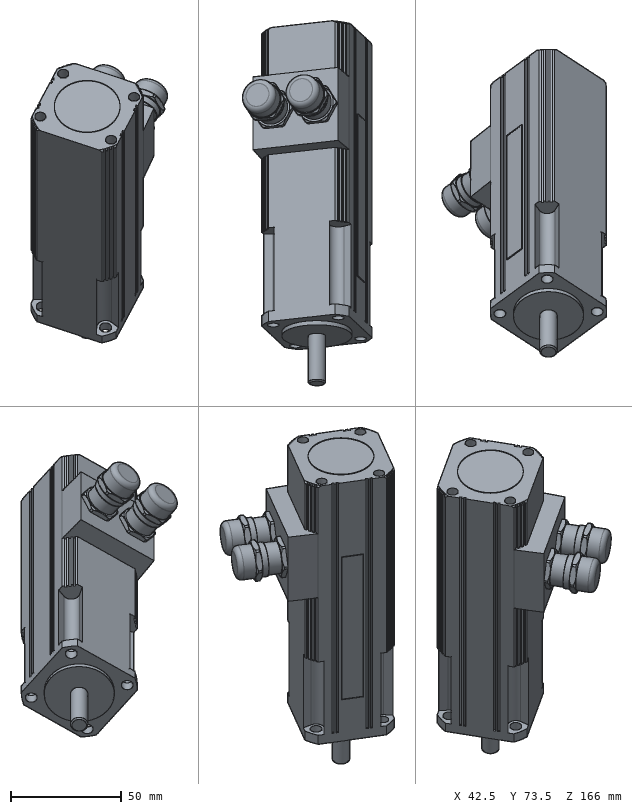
import cadquery as cq
import math


SPIGOT_BOTTOM = 22.7
FLANGE_BOTTOM = 24.7
FLANGE_TOP = 29.7
RELIEF_TOP = 69.7
TOTAL_HEIGHT = 166.0
DISC_HEIGHT = 0.3
BODY_TOP = TOTAL_HEIGHT - DISC_HEIGHT

BODY_WIDTH = 42.0
HALF_WIDTH = BODY_WIDTH / 2
OVERALL_DEPTH = 73.5
CORNER_RADIUS = 26.4
CORNER_BEVEL = 0.8

SHAFT_RADIUS = 4.0
SHAFT_CHAMFER = 0.7
SPIGOT_RADIUS = 16.0
DISC_RADIUS = 15.0

GROOVE_WIDTH = 1.0
GROOVE_DEPTH = 0.8
GROOVE_PITCH = 2 * GROOVE_WIDTH
GROOVES_PER_CORNER = 3
GROOVES_PER_BAND = 2
BAND_OFFSET = 8.0

BOLT_CIRCLE_RADIUS = 22.0
FLANGE_HOLE_RADIUS = 2.7
RELIEF_RADIUS = 4.0
RELIEF_FLARE_ANGLE = 25.0

SCREW_X = 17.5
SCREW_Y = 13.5
COUNTERBORE_RADIUS = 2.5
COUNTERBORE_DEPTH = 8.3
HEAD_RADIUS = 2.0
HEAD_HEIGHT = 3.0
SOCKET_RADIUS = 1.0
SOCKET_DEPTH = 1.5
SOCKET_TIP_DEPTH = 0.7

PLATE_THICKNESS = 0.5
PLATE_WIDTH = 10.1
PLATE_BOTTOM = 47.6
PLATE_TOP = 125.3

BOX_BOTTOM = 104.7
BOX_TOP = 139.8
BOX_INNER_Y = math.sqrt(CORNER_RADIUS**2 - HALF_WIDTH**2)
BOX_OUTER_Y = 29.9
BOX_OUTER_HALF_WIDTH = 20.5

CONNECTOR_X = 10.5
CONNECTOR_Z = 122.7
CONNECTOR_END_Y = OVERALL_DEPTH - HALF_WIDTH
CONNECTOR_RADIUS = 8.0
CONNECTOR_ROUNDING = 2.5
NECK_RADIUS = 7.5
NECK_END_Y = 38.3
NUT_END_Y = 32.2
RING_START_Y = 41.3
RING_END_Y = 44.3
HEX_ACROSS_FLATS = 17.0
HEX_TRIM_RADIUS = 9.5
HEX_BEVEL = 0.7

CORNER_ANGLES = (45, 135, 225, 315)


def cylinder(radius, bottom, top):
    return cq.Workplane("XY").workplane(offset=bottom).circle(radius).extrude(top - bottom)


def block(x_min, x_max, y_min, y_max, z_min, z_max):
    return cq.Workplane("XY").box(
        x_max - x_min, y_max - y_min, z_max - z_min, centered=False
    ).translate((x_min, y_min, z_min))


def turn_about_z(shape, angle):
    return shape.rotate((0, 0, 0), (0, 0, 1), angle)


def housing():
    """Flange and body in one, with a conical bevel on the rounded corners at the rear end."""
    square = block(-HALF_WIDTH, HALF_WIDTH, -HALF_WIDTH, HALF_WIDTH, FLANGE_BOTTOM, BODY_TOP)
    envelope = cylinder(CORNER_RADIUS, FLANGE_BOTTOM, BODY_TOP).faces(">Z").chamfer(CORNER_BEVEL)
    return square.intersect(envelope)


def corner_grooves():
    """Flat-bottomed parallel grooves on the +X side, to be turned onto a corner."""
    grooves = cq.Workplane("XY")
    middle = (GROOVES_PER_CORNER - 1) / 2
    for index in range(GROOVES_PER_CORNER):
        y = (index - middle) * GROOVE_PITCH
        grooves = grooves.union(block(
            CORNER_RADIUS - GROOVE_DEPTH, CORNER_RADIUS + GROOVE_DEPTH,
            y - GROOVE_WIDTH / 2, y + GROOVE_WIDTH / 2, RELIEF_TOP, BODY_TOP))
    return grooves


def face_grooves():
    """Two bands of flat-bottomed grooves on the +X face, above the flange."""
    grooves = cq.Workplane("XY")
    middle = (GROOVES_PER_BAND - 1) / 2
    for band_y in (-BAND_OFFSET, BAND_OFFSET):
        for index in range(GROOVES_PER_BAND):
            y = band_y + (index - middle) * GROOVE_PITCH
            grooves = grooves.union(block(
                HALF_WIDTH - GROOVE_DEPTH, HALF_WIDTH + GROOVE_DEPTH,
                y - GROOVE_WIDTH / 2, y + GROOVE_WIDTH / 2, FLANGE_TOP, BODY_TOP))
    return grooves


def corner_relief():
    """Round-bottomed channel with flared walls on the +X side, plus the flange hole below it."""
    flare = math.radians(RELIEF_FLARE_ANGLE)
    tangent_x = BOLT_CIRCLE_RADIUS - RELIEF_RADIUS * math.sin(flare)
    tangent_y = RELIEF_RADIUS * math.cos(flare)
    mouth_x = HALF_WIDTH * math.sqrt(2)
    mouth_y = tangent_y + (mouth_x - tangent_x) * math.tan(flare)
    channel = (
        cq.Workplane("XY").workplane(offset=FLANGE_TOP)
        .moveTo(mouth_x, -mouth_y)
        .lineTo(tangent_x, -tangent_y)
        .threePointArc((BOLT_CIRCLE_RADIUS - RELIEF_RADIUS, 0), (tangent_x, tangent_y))
        .lineTo(mouth_x, mouth_y)
        .close()
        .extrude(RELIEF_TOP - FLANGE_TOP)
    )
    hole = cylinder(FLANGE_HOLE_RADIUS, FLANGE_BOTTOM, FLANGE_TOP)
    return channel.union(hole.translate((BOLT_CIRCLE_RADIUS, 0, 0)))


def screw_recess():
    """Material to remove around and inside one screw head, on the Z axis."""
    floor = BODY_TOP - COUNTERBORE_DEPTH
    head_top = floor + HEAD_HEIGHT
    socket_floor = head_top - SOCKET_DEPTH
    head = (
        cq.Workplane("XZ")
        .moveTo(0, floor)
        .lineTo(HEAD_RADIUS, floor)
        .lineTo(HEAD_RADIUS, head_top)
        .lineTo(SOCKET_RADIUS, head_top)
        .lineTo(SOCKET_RADIUS, socket_floor)
        .lineTo(0, socket_floor - SOCKET_TIP_DEPTH)
        .close()
        .revolve(360, (0, 0, 0), (0, 1, 0))
    )
    return cylinder(COUNTERBORE_RADIUS, floor, BODY_TOP).cut(head)


def connector_box():
    return (
        cq.Workplane("XY").workplane(offset=BOX_BOTTOM)
        .polyline([
            (-HALF_WIDTH, BOX_INNER_Y),
            (HALF_WIDTH, BOX_INNER_Y),
            (BOX_OUTER_HALF_WIDTH, BOX_OUTER_Y),
            (-BOX_OUTER_HALF_WIDTH, BOX_OUTER_Y),
        ])
        .close()
        .extrude(BOX_TOP - BOX_BOTTOM)
    )


def bevelled_hexagon(bottom, top, bevel_bottom):
    """Hexagon along Z with corners on the X axis; its corners are trimmed round and bevelled."""
    flat_radius = HEX_ACROSS_FLATS / 2
    corner_radius = flat_radius / math.cos(math.pi / 6)
    outline = [(0, bottom)]
    if bevel_bottom:
        outline += [(flat_radius, bottom), (HEX_TRIM_RADIUS, bottom + HEX_BEVEL)]
    else:
        outline += [(HEX_TRIM_RADIUS, bottom)]
    outline += [(HEX_TRIM_RADIUS, top - HEX_BEVEL), (flat_radius, top), (0, top)]
    envelope = cq.Workplane("XZ").polyline(outline).close().revolve(360, (0, 0, 0), (0, 1, 0))
    prism = cq.Workplane("XY").workplane(offset=bottom).polygon(6, 2 * corner_radius)
    return prism.extrude(top - bottom).intersect(envelope)


def connector():
    """Connector built along Z, then laid over so that it points along +Y."""
    sleeve = cylinder(CONNECTOR_RADIUS, NECK_END_Y, CONNECTOR_END_Y).faces(">Z").edges()
    upright = (
        cylinder(NECK_RADIUS, BOX_OUTER_Y, NECK_END_Y)
        .union(sleeve.fillet(CONNECTOR_ROUNDING))
        .union(bevelled_hexagon(BOX_OUTER_Y, NUT_END_Y, bevel_bottom=False))
        .union(bevelled_hexagon(RING_START_Y, RING_END_Y, bevel_bottom=True))
    )
    return upright.rotate((0, 0, 0), (1, 0, 0), -90)


result = housing()
result = result.union(cylinder(DISC_RADIUS, BODY_TOP, TOTAL_HEIGHT))
result = result.union(cylinder(SPIGOT_RADIUS, SPIGOT_BOTTOM, FLANGE_BOTTOM))
result = result.union(cylinder(SHAFT_RADIUS, 0, SPIGOT_BOTTOM).faces("<Z").chamfer(SHAFT_CHAMFER))

for corner_angle in CORNER_ANGLES:
    result = result.cut(turn_about_z(corner_grooves(), corner_angle))
    result = result.cut(turn_about_z(corner_relief(), corner_angle))
for face_angle in (0, 180):
    result = result.cut(turn_about_z(face_grooves(), face_angle))

for x in (-SCREW_X, SCREW_X):
    for y in (-SCREW_Y, SCREW_Y):
        result = result.cut(screw_recess().translate((x, y, 0)))

result = result.union(block(
    -HALF_WIDTH - PLATE_THICKNESS, -HALF_WIDTH,
    -PLATE_WIDTH / 2, PLATE_WIDTH / 2, PLATE_BOTTOM, PLATE_TOP))

result = result.union(connector_box())
for x in (-CONNECTOR_X, CONNECTOR_X):
    result = result.union(connector().translate((x, 0, CONNECTOR_Z)))